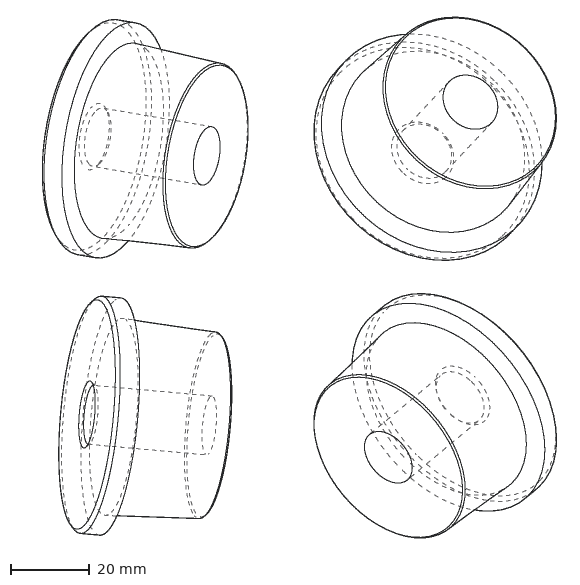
import cadquery as cq

length = 32.0
flange_diameter = 60.5
flange_radius = flange_diameter / 2
bore_diameter = 15.0

edge_chamfer = 1.0
rim_end = 6.1
flange_end = 7.0

hub_root_radius = 25.1
hub_tip_radius = 23.8
tip_chamfer = 0.5

body_profile = (
    cq.Workplane("XY")
    .moveTo(0, 0)
    .lineTo(0, flange_radius - edge_chamfer)
    .lineTo(edge_chamfer, flange_radius)
    .lineTo(rim_end, flange_radius)
    .lineTo(flange_end, hub_root_radius)
    .lineTo(length - tip_chamfer, hub_tip_radius)
    .lineTo(length, hub_tip_radius - tip_chamfer)
    .lineTo(length, 0)
    .close()
)
body = body_profile.revolve(360, (0, 0, 0), (1, 0, 0))

bored = body.cut(cq.Workplane("YZ").circle(bore_diameter / 2).extrude(length))
result = bored.faces("<X").edges("%CIRCLE").edges(
    cq.selectors.RadiusNthSelector(0)
).chamfer(edge_chamfer)